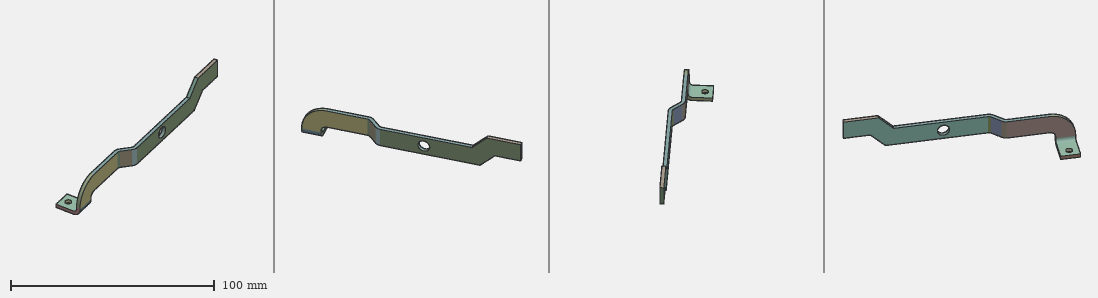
import cadquery as cq
import math

thickness = 2.0
strip_width = 10.0
total_length = 115.0
total_height = 25.61

inner_bend_radius = 2.0
outer_bend_radius = inner_bend_radius + thickness

foot_reach = 12.0
foot_hole_diameter = 3.2
foot_hole_x = 4.0

turn_inner_radius = 3.0
turn_outer_radius = turn_inner_radius + strip_width
run_bottom = 8.0
run_top = run_bottom + strip_width
turn_center_z = run_top - turn_outer_radius

sideways_offset = 6.0
jog_angle = 44.3
jog_start_y = 34.04

step_angle = 45.0
step_rise = total_height - run_top
far_tab_length = 17.5
step_length = step_rise / math.tan(math.radians(step_angle))
miter_shift = strip_width * math.tan(math.radians(step_angle / 2))

run_hole_diameter = 6.0
run_hole_from_far_end = 50.0
run_hole_y = total_length - run_hole_from_far_end

quarter_arc_middle = math.sqrt(0.5)

near_left = foot_reach
near_right = near_left + thickness
far_left = near_left + sideways_offset
far_right = far_left + thickness


def arc_extent(radius, angle):
    """Extent along and across Y of an arc that starts tangent to Y."""
    along = radius * math.sin(math.radians(angle))
    across = radius * (1 - math.cos(math.radians(angle)))
    return along, across


def make_jogged_sheet():
    """Sheet bent sideways in plan and extruded to the full part height."""
    inner_y, inner_x = arc_extent(inner_bend_radius, jog_angle)
    outer_y, outer_x = arc_extent(outer_bend_radius, jog_angle)
    inner_mid_y, inner_mid_x = arc_extent(inner_bend_radius, jog_angle / 2)
    outer_mid_y, outer_mid_x = arc_extent(outer_bend_radius, jog_angle / 2)
    slope_x = sideways_offset - inner_x - outer_x
    slope_y = slope_x / math.tan(math.radians(jog_angle))
    jog_end_y = jog_start_y + outer_y + slope_y + inner_y
    return (
        cq.Workplane("XY")
        .moveTo(near_left, 0)
        .lineTo(near_left, jog_start_y)
        .threePointArc(
            (near_left + outer_mid_x, jog_start_y + outer_mid_y),
            (near_left + outer_x, jog_start_y + outer_y),
        )
        .lineTo(far_left - inner_x, jog_end_y - inner_y)
        .threePointArc((far_left - inner_mid_x, jog_end_y - inner_mid_y), (far_left, jog_end_y))
        .lineTo(far_left, total_length)
        .lineTo(far_right, total_length)
        .lineTo(far_right, jog_end_y)
        .threePointArc(
            (far_right - outer_mid_x, jog_end_y - outer_mid_y),
            (far_right - outer_x, jog_end_y - outer_y),
        )
        .lineTo(near_right + inner_x, jog_start_y + inner_y)
        .threePointArc(
            (near_right + inner_mid_x, jog_start_y + inner_mid_y),
            (near_right, jog_start_y),
        )
        .lineTo(near_right, 0)
        .close()
        .extrude(total_height)
    )


def make_side_outline():
    """Outline of the upright strip in YZ, down to the top of the foot bend."""
    step_top_y = total_length - far_tab_length
    step_bottom_y = step_top_y + miter_shift
    turn_center_y = turn_outer_radius

    def turn_middle(radius):
        return turn_center_y - radius * quarter_arc_middle, turn_center_z + radius * quarter_arc_middle

    return (
        cq.Workplane("YZ")
        .moveTo(0, outer_bend_radius)
        .lineTo(0, turn_center_z)
        .threePointArc(turn_middle(turn_outer_radius), (turn_center_y, run_top))
        .lineTo(step_top_y - step_length, run_top)
        .lineTo(step_top_y, total_height)
        .lineTo(total_length, total_height)
        .lineTo(total_length, total_height - strip_width)
        .lineTo(step_bottom_y, total_height - strip_width)
        .lineTo(step_bottom_y - step_length, run_bottom)
        .lineTo(turn_center_y, run_bottom)
        .threePointArc(turn_middle(turn_inner_radius), (strip_width, turn_center_z))
        .lineTo(strip_width, outer_bend_radius)
        .close()
        .extrude(far_right)
    )


def make_foot():
    """Flat foot and the bend that joins it to the upright strip."""
    bend_center_x = near_left - inner_bend_radius
    bend_center_z = outer_bend_radius

    def bend_middle(radius):
        return bend_center_x + radius * quarter_arc_middle, bend_center_z - radius * quarter_arc_middle

    return (
        cq.Workplane("XZ")
        .lineTo(bend_center_x, 0)
        .threePointArc(bend_middle(outer_bend_radius), (near_right, bend_center_z))
        .lineTo(near_left, bend_center_z)
        .threePointArc(bend_middle(inner_bend_radius), (bend_center_x, thickness))
        .lineTo(0, thickness)
        .close()
        .extrude(-strip_width)
    )


def make_foot_hole():
    return (
        cq.Workplane("XY")
        .center(foot_hole_x, strip_width / 2)
        .circle(foot_hole_diameter / 2)
        .extrude(thickness)
    )


def make_run_hole():
    return (
        cq.Workplane("YZ")
        .center(run_hole_y, run_bottom + strip_width / 2)
        .circle(run_hole_diameter / 2)
        .extrude(far_right)
    )


upright_strip = make_jogged_sheet().intersect(make_side_outline())
result = upright_strip.union(make_foot()).cut(make_foot_hole()).cut(make_run_hole())